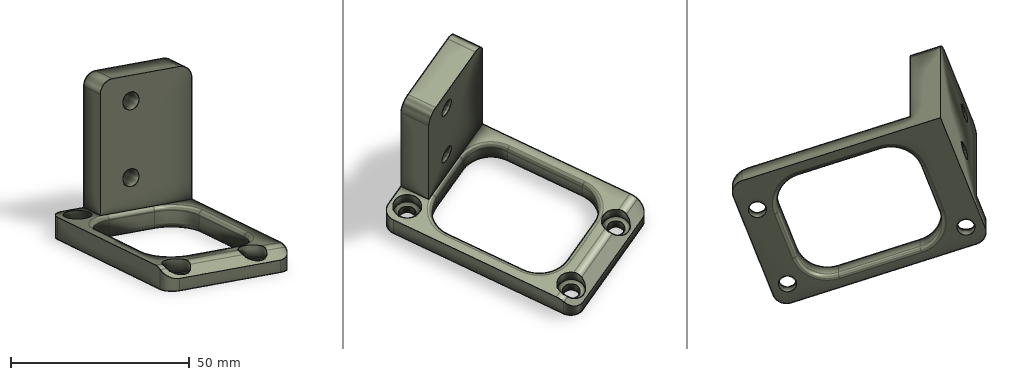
import cadquery as cq
import math

length = 63.0
width = 41.0
plate_height = 6.5
corner_radius = 4.0

total_height = 46.0
wall_thickness = 9.0
wall_width = 30.0

opening_length = 42.35
opening_width = 33.0
opening_radius = 9.0
opening_edge_radius = 1.3
rim_margin = 0.6

slope_run = 5.0
slope_angle = math.radians(30)
slope_blend_radius = 5.0

screw_diameter = 5.0
counterbore_diameter = 8.0
counterbore_depth = 3.5
screw_end_distance = 5.0
screw_front_y = 6.0
screw_spacing_y = 24.95
screw_points = [
    (screw_end_distance, screw_front_y),
    (length - screw_end_distance, screw_front_y),
    (length - screw_end_distance, screw_front_y + screw_spacing_y),
]

wall_hole_diameter = 5.2
wall_hole_back_distance = 20.0
wall_hole_y = width - wall_hole_back_distance
wall_hole_low_z = 16.0
wall_hole_spacing_z = 22.5
wall_hole_points = [
    (wall_hole_y, wall_hole_low_z),
    (wall_hole_y, wall_hole_low_z + wall_hole_spacing_z),
]


def make_plate():
    """Plate with a sloped end, blended into the top, and three rounded corners."""
    slope_drop = slope_run * math.tan(slope_angle)
    half_angle = slope_angle / 2
    blend_tangent = slope_blend_radius * math.tan(half_angle)
    slope_start = length - slope_run
    blend_start_x = slope_start - blend_tangent
    blend_middle = (
        blend_start_x + slope_blend_radius * math.sin(half_angle),
        plate_height - slope_blend_radius * (1 - math.cos(half_angle)),
    )
    blend_end = (
        slope_start + blend_tangent * math.cos(slope_angle),
        plate_height - blend_tangent * math.sin(slope_angle),
    )
    plate = (
        cq.Workplane("XZ")
        .moveTo(0, 0)
        .lineTo(length, 0)
        .lineTo(length, plate_height - slope_drop)
        .lineTo(*blend_end)
        .threePointArc(blend_middle, (blend_start_x, plate_height))
        .lineTo(0, plate_height)
        .close()
        .extrude(-width)
    )
    outline = cq.Workplane("XY").rect(length, width, centered=False).extrude(plate_height)
    outline = outline.edges("|Z and (>X or <Y)").fillet(corner_radius)
    return plate.intersect(outline)


def cut_opening(plate):
    """Cut the central opening and round its upper and lower rims."""
    opening = (
        cq.Workplane("XY")
        .center(length / 2, width / 2)
        .rect(opening_length, opening_width)
        .extrude(plate_height)
        .edges("|Z")
        .fillet(opening_radius)
    )
    reach_x = opening_length / 2 + rim_margin
    reach_y = opening_width / 2 + rim_margin
    rim_box = cq.selectors.BoxSelector(
        (length / 2 - reach_x, width / 2 - reach_y, -rim_margin),
        (length / 2 + reach_x, width / 2 + reach_y, plate_height + rim_margin),
        boundingbox=True,
    )
    return plate.cut(opening).edges(rim_box).edges("#Z").fillet(opening_edge_radius)


def make_wall():
    """Upright wall with rounded top corners and two cross holes."""
    wall = (
        cq.Workplane("XY")
        .box(wall_thickness, wall_width, total_height - plate_height, centered=False)
        .translate((0, width - wall_width, plate_height))
        .edges("|X and >Z")
        .fillet(corner_radius)
    )
    holes = (
        cq.Workplane("YZ")
        .pushPoints(wall_hole_points)
        .circle(wall_hole_diameter / 2)
        .extrude(wall_thickness)
    )
    return wall.cut(holes)


def make_screw_holes():
    """Through holes with counterbores sunk from the plate's top level."""
    shafts = cq.Workplane("XY").pushPoints(screw_points).circle(screw_diameter / 2).extrude(plate_height)
    heads = (
        cq.Workplane("XY", origin=(0, 0, plate_height - counterbore_depth))
        .pushPoints(screw_points)
        .circle(counterbore_diameter / 2)
        .extrude(counterbore_depth)
    )
    return shafts.union(heads)


plate = cut_opening(make_plate()).cut(make_screw_holes())
result = plate.union(make_wall())